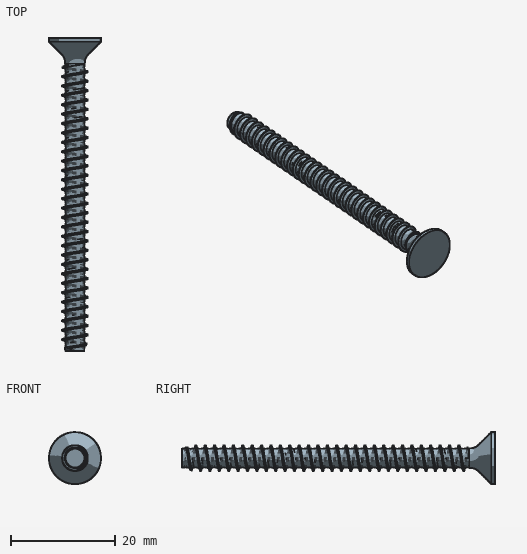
import cadquery as cq
import math

length = 60.0

head_radius = 5.01
rim_height = 0.7
cone_angle = math.radians(45)

neck_radius = 1.9
neck_fillet = 2.1
neck_end = 5.0
core_radius = 1.8

pitch = 1.8
thread_radius = 2.49
crest_width = 0.1
ridge_radius = 1.95
ridge_width = 0.35
head_side_base = 0.65
tip_side_base = 0.9
root_overlap = 0.03
helix_start = 4.7

thread_start = neck_end
full_thread_start = 5.75
full_thread_end = length - 2.15
crest_clearance = 0.3


def make_body():
    """Head, filleted neck and plain core as one turned solid."""
    cone_end_radius = neck_radius + neck_fillet * (1 - math.cos(cone_angle))
    cone_end = rim_height + (head_radius - cone_end_radius) / math.tan(cone_angle)
    fillet_end = cone_end + neck_fillet * math.sin(cone_angle)
    fillet_mid_radius = neck_radius + neck_fillet * (1 - math.cos(cone_angle / 2))
    fillet_mid = fillet_end - neck_fillet * math.sin(cone_angle / 2)
    return (
        cq.Workplane("XZ")
        .lineTo(head_radius, 0)
        .lineTo(head_radius, rim_height)
        .lineTo(cone_end_radius, cone_end)
        .threePointArc((fillet_mid_radius, fillet_mid), (neck_radius, fillet_end))
        .lineTo(neck_radius, neck_end)
        .lineTo(core_radius, neck_end)
        .lineTo(core_radius, length)
        .lineTo(0, length)
        .close()
        .revolve(360, (0, 0, 0), (0, 1, 0))
    )


def make_thread_envelope():
    """Turned space that limits the thread, with a cone at each end."""
    rise = thread_radius - core_radius
    start_slope = (full_thread_start - thread_start) / rise
    end_slope = (length - full_thread_end) / rise
    outer_radius = thread_radius + crest_clearance
    return (
        cq.Workplane("XZ")
        .moveTo(0, thread_start - start_slope * core_radius)
        .lineTo(outer_radius, full_thread_start + start_slope * crest_clearance)
        .lineTo(outer_radius, full_thread_end - end_slope * crest_clearance)
        .lineTo(core_radius, length)
        .lineTo(0, length)
        .close()
        .revolve(360, (0, 0, 0), (0, 1, 0))
    )


def make_thread():
    """Right-handed helical thread, trimmed to the envelope."""
    base_height = ridge_radius - core_radius
    head_side_slope = (head_side_base - ridge_width / 2) / base_height
    tip_side_slope = (tip_side_base - ridge_width / 2) / base_height
    inner_radius = core_radius - root_overlap
    helix = cq.Wire.makeHelix(pitch, length - helix_start, core_radius)
    thread = (
        cq.Workplane("XZ")
        .moveTo(inner_radius, -head_side_base - head_side_slope * root_overlap)
        .lineTo(ridge_radius, -ridge_width / 2)
        .lineTo(thread_radius, -crest_width / 2)
        .lineTo(thread_radius, crest_width / 2)
        .lineTo(ridge_radius, ridge_width / 2)
        .lineTo(inner_radius, tip_side_base + tip_side_slope * root_overlap)
        .close()
        .sweep(cq.Workplane(helix), isFrenet=True)
        .translate((0, 0, helix_start))
    )
    return thread.intersect(make_thread_envelope())


screw = make_body().union(make_thread())
result = screw.rotate((0, 0, 0), (1, 0, 0), 90)